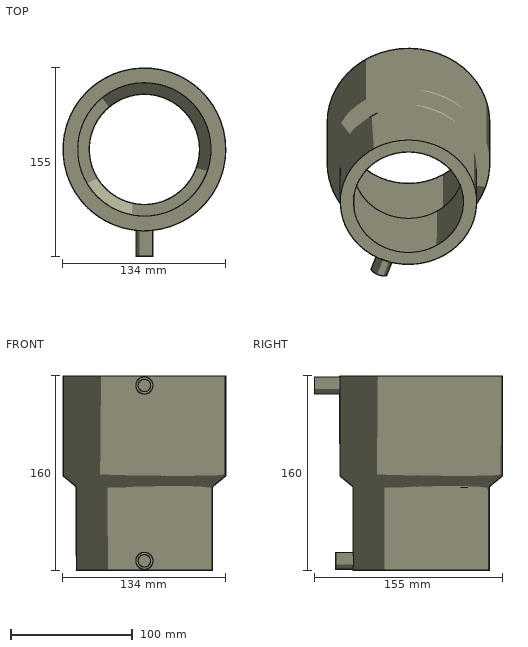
import cadquery as cq

height = 160.0
wide_radius = 67.0
narrow_radius = 56.2
wide_bore_radius = 54.9
narrow_bore_radius = 45.3
cone_bottom = 68.8
cone_top = 77.8
cone_edge_fillet = 1.6

tube_radius = 7.0
tube_bore_radius = 5.1
tube_inset = 7.8
wide_tube_length = 21.0
narrow_tube_length = 14.2


def revolved_body():
    """Hollow stepped sleeve around Z, with a conical step inside and out, its edges rounded."""
    profile = [
        (narrow_bore_radius, 0),
        (narrow_radius, 0),
        (narrow_radius, cone_bottom),
        (wide_radius, cone_top),
        (wide_radius, height),
        (wide_bore_radius, height),
        (wide_bore_radius, cone_top),
        (narrow_bore_radius, cone_bottom),
    ]
    sleeve = cq.Workplane("XZ").polyline(profile).close().revolve(360, (0, 0, 0), (0, 1, 0))
    cone_edges = sleeve.faces("%CONE").edges("%CIRCLE")
    return cone_edges.fillet(cone_edge_fillet)


def add_terminal(body, wall_outer, wall_inner, length, z):
    """Join a tube to the wall, with a blind bore ending at the wall's outer face."""
    wall_middle = (wall_outer + wall_inner) / 2
    tip = wall_outer + length
    tube = (
        cq.Workplane("XZ", origin=(0, -wall_middle, z))
        .circle(tube_radius)
        .extrude(tip - wall_middle)
    )
    bore = cq.Workplane("XZ", origin=(0, -wall_outer, z)).circle(tube_bore_radius).extrude(length)
    return body.union(tube).cut(bore)


result = revolved_body()
result = add_terminal(result, wide_radius, wide_bore_radius, wide_tube_length, height - tube_inset)
result = add_terminal(result, narrow_radius, narrow_bore_radius, narrow_tube_length, tube_inset)